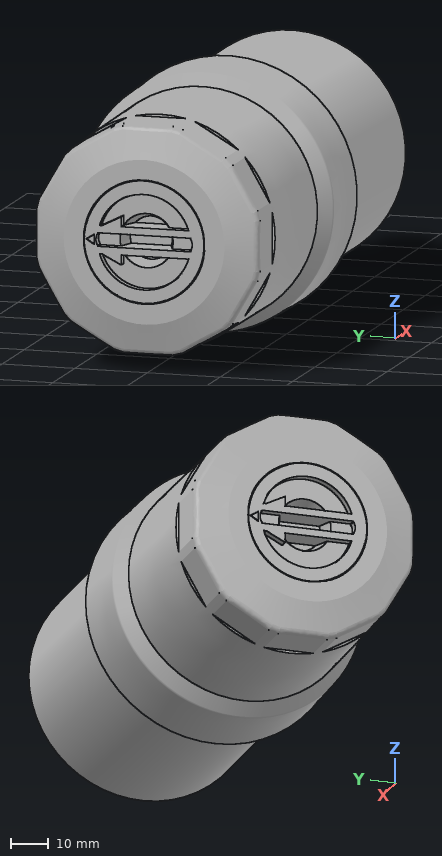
import cadquery as cq
import math

total_length = 165.8

body_diameter = 63.0
sleeve_end_diameter = 63.7
collar_front_diameter = 70.3
collar_diameter = 71.1
nozzle_diameter = 13.1

cap_length = 15.1
collar_chamfer_start = 52.2
collar_front = 56.2
collar_end = 76.0
shoulder_start = 132.6
cone_end = 144.9
nozzle_start = 156.3
nozzle_chamfer = 1.3

collar_edge_radius = 1.0

shoulder_radius = 4.6
cone_angle = math.radians(60)

flat_count = 12
across_flats = 61.5
cap_face_diameter = 44.3
cap_nose_length = 2.8
cap_edge_radius = 1.8

plug_hole_diameter = 33.3
plug_diameter = 33.0
plug_gap_depth = 0.8
recess_diameter = 25.7
recess_depth = 2.3
dimple_diameter = 14.6
dimple_floor_diameter = 11.6
dimple_depth = 4.3

rib_inner = 1.8
rib_outer = 3.8
barb_back = 6.3
barb_front = 11.6
barb_height = 6.5

mark_tip = 15.9
mark_base = 13.8
mark_half_width = 1.3
mark_depth = 0.2

slot_half_length = 13.3
slot_end_bow = 0.7


def disc(diameter, start, length):
    """Cylinder along X."""
    return cq.Workplane("YZ", origin=(start, 0, 0)).circle(diameter / 2).extrude(length)


def make_body():
    """Sleeve, collar, barrel, shoulder, cone and nozzle as one revolved profile, collar edge rounded."""
    body_radius = body_diameter / 2
    sleeve_radius = sleeve_end_diameter / 2
    collar_front_radius = collar_front_diameter / 2
    nozzle_radius = nozzle_diameter / 2
    nozzle_tip_radius = nozzle_radius - nozzle_chamfer

    def shoulder_point(angle):
        return (
            shoulder_start + shoulder_radius * math.sin(angle),
            body_radius - shoulder_radius * (1 - math.cos(angle)),
        )

    cone_start = shoulder_point(cone_angle)
    cone_end_radius = cone_start[1] - (cone_end - cone_start[0]) * math.tan(cone_angle)

    body = (
        cq.Workplane("XY")
        .moveTo(cap_length, 0)
        .lineTo(cap_length, body_radius)
        .lineTo(collar_chamfer_start, sleeve_radius)
        .lineTo(collar_front, collar_front_radius)
        .lineTo(collar_end, collar_diameter / 2)
        .lineTo(collar_end, body_radius)
        .lineTo(shoulder_start, body_radius)
        .threePointArc(shoulder_point(cone_angle / 2), cone_start)
        .lineTo(cone_end, cone_end_radius)
        .tangentArcPoint((nozzle_start, nozzle_radius), relative=False)
        .lineTo(total_length - nozzle_chamfer, nozzle_radius)
        .lineTo(total_length, nozzle_tip_radius)
        .lineTo(total_length, 0)
        .close()
        .revolve(360, (0, 0, 0), (1, 0, 0))
    )
    front_edge = [
        edge for edge in body.edges("%CIRCLE").vals()
        if math.isclose(edge.Center().x, collar_front, abs_tol=0.02)
    ]
    return body.newObject(front_edge).fillet(collar_edge_radius)


def make_cap():
    """Round cap with a conical nose, twelve flats and a rounded front edge."""
    cap_radius = body_diameter / 2
    cap = (
        cq.Workplane("XY")
        .polyline([
            (0, 0),
            (0, cap_face_diameter / 2),
            (cap_nose_length, cap_radius),
            (cap_length, cap_radius),
            (cap_length, 0),
        ])
        .close()
        .revolve(360, (0, 0, 0), (1, 0, 0))
    )
    flats = (
        cq.Workplane("YZ")
        .polygon(flat_count, across_flats, circumscribed=True)
        .extrude(cap_length)
    )
    cap = cap.intersect(flats)
    front_edges = [
        edge for edge in cap.edges().vals()
        if 0 < edge.Center().x < cap_length / 3
    ]
    return cap.newObject(front_edges).fillet(cap_edge_radius)


def make_arrow(length):
    """Two parallel ribs, each with a barb, standing from the cap face inwards."""
    half_span = recess_diameter / 2
    upper = (
        cq.Workplane("YZ")
        .polyline([
            (-half_span, rib_inner),
            (half_span, rib_inner),
            (half_span, rib_outer),
            (barb_front, rib_outer),
            (barb_back, barb_height),
            (barb_back, rib_outer),
            (-half_span, rib_outer),
        ])
        .close()
        .extrude(length)
    )
    return upper.union(upper.mirror("XY"))


def make_recess():
    """Round recess with a tapered dimple in its floor, less the arrow."""
    dimple = (
        cq.Workplane("YZ", origin=(recess_depth, 0, 0))
        .circle(dimple_diameter / 2)
        .workplane(offset=dimple_depth)
        .circle(dimple_floor_diameter / 2)
        .loft()
    )
    recess = disc(recess_diameter, 0, recess_depth).union(dimple)
    return recess.cut(make_arrow(recess_depth + dimple_depth))


def make_slot():
    """Slot between the ribs, running a little past the round recess."""
    corner = slot_half_length - slot_end_bow
    return (
        cq.Workplane("YZ")
        .moveTo(-corner, rib_inner)
        .lineTo(corner, rib_inner)
        .threePointArc((slot_half_length, 0), (corner, -rib_inner))
        .lineTo(-corner, -rib_inner)
        .threePointArc((-slot_half_length, 0), (-corner, rib_inner))
        .close()
        .extrude(recess_depth)
    )


def make_plug_gap():
    """Narrow ring groove around the plug in the cap face."""
    return disc(plug_hole_diameter, 0, plug_gap_depth).cut(disc(plug_diameter, 0, plug_gap_depth))


def make_mark():
    """Small triangle ahead of the arrow."""
    return (
        cq.Workplane("YZ")
        .polyline([
            (mark_tip, 0),
            (mark_base, mark_half_width),
            (mark_base, -mark_half_width),
        ])
        .close()
        .extrude(mark_depth)
    )


result = (
    make_body()
    .union(make_cap())
    .cut(make_recess())
    .cut(make_slot())
    .cut(make_plug_gap())
    .cut(make_mark())
)